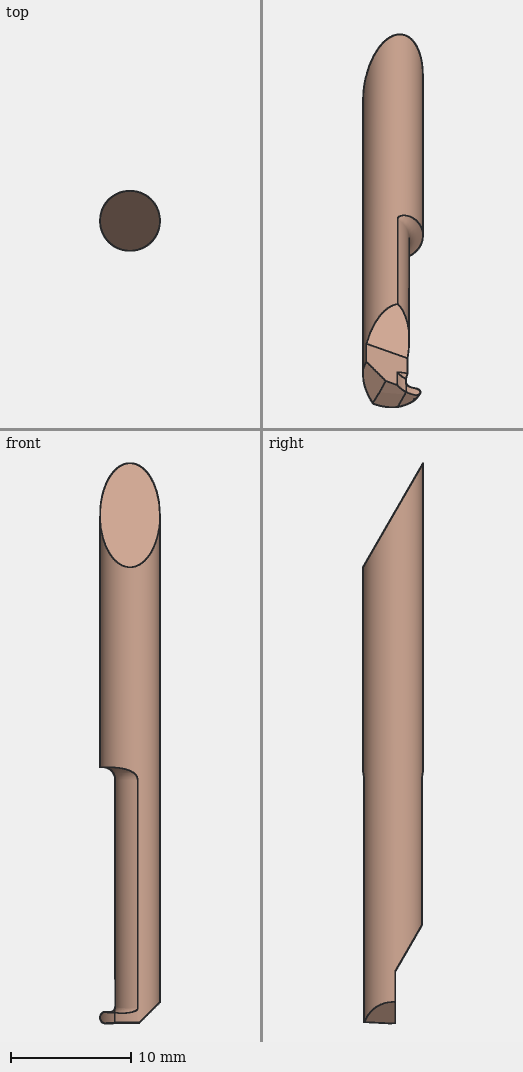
import cadquery as cq
import math


shank_radius = 2.5
total_length = 46.58
bevel_angle = 30.0
bevel_drop = 2 * shank_radius / math.tan(math.radians(bevel_angle))

neck_radius = shank_radius
neck_offset = shank_radius / 2
neck_left = neck_offset - neck_radius
shoulder_z = 21.3
shoulder_fillet = 1.0

flat_y = 0.2
slope_angle = 30.0
slope_bottom_z = 4.35
slope_top_z = slope_bottom_z + (shank_radius - flat_y) / math.tan(math.radians(slope_angle))

nose_radius = 0.5
nose_center_x = nose_radius - shank_radius
head_height = 2 * nose_radius
relief_angle = 3.0
side_relief_angle = 1.0
head_fillet = 0.4
flank_radius = 3.5
flank_break_y = -1.9
neck_edge_x = neck_offset / 2
neck_edge_y = -math.sqrt(shank_radius**2 - neck_edge_x**2)
corner_chamfer = 1.8

groove_radius = 2.5
groove_x = -1.6
groove_center_y = math.sqrt(groove_radius**2 - (groove_x + shank_radius) ** 2)
groove_floor_y = groove_center_y - groove_radius
groove_top_z = 2.2
groove_end_chamfer = 0.35

margin = 2 * shank_radius


def prism(outline, plane):
    """Closed polygon extruded both ways from a plane through the origin."""
    return cq.Workplane(plane).polyline(outline).close().extrude(margin, both=True)


def cylinder(radius, x, y, bottom, top):
    """Upright cylinder around the point (x, y)."""
    return cq.Workplane("XY", origin=(x, y, bottom)).circle(radius).extrude(top - bottom)


def nose_profile():
    """Side shape of the head: a round nose, a bottom rising slightly toward +X, and an open top."""
    angle = math.radians(side_relief_angle)
    tangent_x = nose_center_x + nose_radius * math.sin(angle)
    tangent_z = nose_radius - nose_radius * math.cos(angle)
    end_z = tangent_z + (margin - tangent_x) * math.tan(angle)
    return (
        cq.Workplane("XZ")
        .moveTo(tangent_x, tangent_z)
        .threePointArc((-shank_radius, nose_radius), (nose_center_x, head_height))
        .lineTo(nose_center_x, margin)
        .lineTo(margin, margin)
        .lineTo(margin, end_z)
        .close()
        .extrude(margin, both=True)
    )


def head_plate():
    """Wide plate with the rounded nose, whose top and bottom slope together toward -Y."""
    slope = math.tan(math.radians(relief_angle))
    outline = [
        (-margin, (groove_floor_y + margin) * slope),
        (margin, (groove_floor_y - margin) * slope),
        (margin, head_height + (margin - flat_y) * slope),
        (-margin, head_height - (margin + flat_y) * slope),
    ]
    return prism(outline, "YZ").intersect(nose_profile())


def blank():
    """Shank stock, neck and plate joined with filleted corners, then trimmed to the shank circle."""
    stock = cylinder(margin, 0, 0, shoulder_z, total_length)
    neck = cylinder(neck_radius, neck_offset, 0, nose_radius, total_length)
    body = stock.union(neck).union(head_plate())
    shoulder_edge = cq.selectors.NearestToPointSelector((neck_offset, 0, shoulder_z))
    plate_edge = cq.selectors.NearestToPointSelector((neck_offset, 0, head_height))
    body = body.edges(shoulder_edge).fillet(shoulder_fillet)
    body = body.edges(plate_edge).fillet(head_fillet)
    return body.intersect(cylinder(shank_radius, 0, 0, -margin, total_length))


def arc_middle(start, end, radius):
    """Middle of the arc that bulges to the right of the line from start to end."""
    dx = end[0] - start[0]
    dy = end[1] - start[1]
    chord = math.hypot(dx, dy)
    bulge = radius - math.sqrt(radius**2 - (chord / 2) ** 2)
    return (start[0] + dx / 2 + bulge * dy / chord, start[1] + dy / 2 - bulge * dx / chord)


def head_plan():
    """Plan of the head: two curved flanks from the cutting edge to the shank surface."""
    cutting_edge = (-shank_radius, 0)
    flank_break = (neck_left, flank_break_y)
    shank_corner = (neck_edge_x, neck_edge_y)
    return (
        cq.Workplane("XY", origin=(0, 0, -margin))
        .moveTo(*cutting_edge)
        .threePointArc(arc_middle(cutting_edge, flank_break, flank_radius), flank_break)
        .threePointArc(arc_middle(flank_break, shank_corner, flank_radius), shank_corner)
        .lineTo(neck_edge_x, -margin)
        .lineTo(margin, -margin)
        .lineTo(margin, margin)
        .lineTo(-shank_radius, margin)
        .close()
        .extrude(2 * margin)
    )


def flank_cutter():
    """Everything around the plan of the head, at the lower end of the bar."""
    return cylinder(margin, 0, 0, -margin, slope_bottom_z).cut(head_plan())


def bevel_cutter():
    """Wedge above the slanted upper end, which rises toward +Y."""
    outline = [
        (-shank_radius, total_length - bevel_drop),
        (shank_radius, total_length),
        (-shank_radius, total_length),
    ]
    return prism(outline, "YZ")


def back_relief_cutter():
    """Material behind the flat and its sloped run-out."""
    outline = [
        (flat_y, -margin),
        (flat_y, slope_bottom_z),
        (shank_radius, slope_top_z),
        (margin, slope_top_z),
        (margin, -margin),
    ]
    return prism(outline, "YZ")


def corner_cutter():
    """Lower corner on the +X side."""
    outline = [
        (shank_radius, corner_chamfer),
        (shank_radius - corner_chamfer, 0),
        (shank_radius, 0),
    ]
    return prism(outline, "XZ")


def chip_groove_cutter():
    """Round cutter for the chip groove, with a chamfered upper end."""
    cutter = cylinder(groove_radius, groove_x, groove_center_y, -margin, groove_top_z)
    return cutter.faces(">Z").chamfer(groove_end_chamfer)


def bar():
    """Holder and tip in one piece."""
    body = blank().cut(flank_cutter())
    body = body.cut(bevel_cutter())
    body = body.cut(back_relief_cutter())
    body = body.cut(corner_cutter())
    return body.cut(chip_groove_cutter())


def tip_space():
    """Block beside the neck that holds the part of the head belonging to the tip."""
    center = cq.Workplane("XY", origin=(neck_left - margin / 2, 0, 0))
    return center.box(margin, 2 * margin, 2 * (head_height + head_fillet))


whole_bar = bar()
tip = whole_bar.intersect(tip_space()).solids()
holder = whole_bar.cut(tip_space()).solids()

result = cq.Compound.makeCompound([holder.val(), tip.val()])